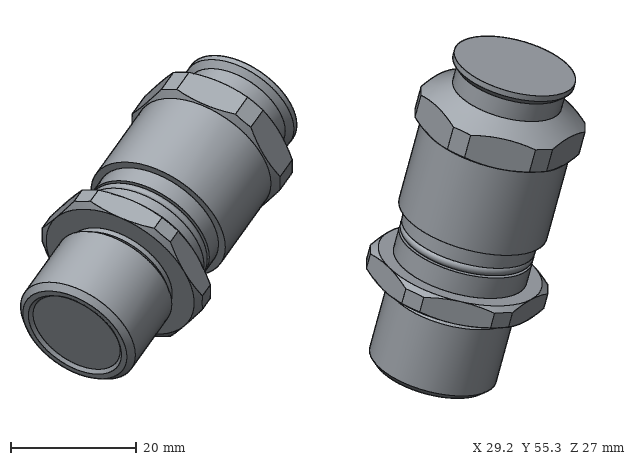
import cadquery as cq
import math

total_length = 55.3
lock_hex_start = 15.0
lock_hex_end = 19.0
oring_groove_start = 22.75
oring_groove_end = 24.5
sleeve_start = 27.55
sleeve_end = 42.65
collar_start = 50.1

thread_dia = 20.95
relief_dia = 18.95
neck_dia = 22.0
sleeve_dia = 24.5
collar_dia = 20.0
collar_neck_dia = 18.0
lock_hex_flats = 27.0
lock_hex_corner_flats = 29.2
cap_hex_flats = 25.0
cap_hex_corner_flats = 27.0

edge_chamfer = 1.0
relief_width = 0.95
oring_section_dia = 1.55
recess_dia = 17.0
recess_depth = 0.55
cone_slope = math.tan(math.radians(30))


def revolve_profile(points):
    """Revolve (radius, y) points, closed along the axis, around Y."""
    start_y = points[0][1]
    end_y = points[-1][1]
    outline = [(0, start_y)] + points + [(0, end_y)]
    return cq.Workplane("XY").polyline(outline).close().revolve(360, (0, 0, 0), (0, 1, 0))


def cylinder(diameter, start_y, end_y):
    return revolve_profile([(diameter / 2, start_y), (diameter / 2, end_y)])


def hexagon_corner_radius(flats):
    return flats / 2 / math.cos(math.radians(30))


def hexagon(flats, start_y, end_y):
    """Hexagonal prism along Y with corners pointing to +X and -X."""
    prism = cq.Workplane("XZ").polygon(6, 2 * hexagon_corner_radius(flats)).extrude(start_y - end_y)
    return prism.translate((0, start_y, 0))


def trimmed_hexagon(flats, corner_flats, start_y, end_y):
    """Hexagonal prism along Y with its six corners cut flat."""
    corner_cutter = hexagon(corner_flats, start_y, end_y).rotate((0, 0, 0), (0, 1, 0), 30)
    return hexagon(flats, start_y, end_y).intersect(corner_cutter)


def make_thread_end():
    """Chamfered thread blank followed by its relief groove."""
    thread_r = thread_dia / 2
    relief_r = relief_dia / 2
    thread_end = lock_hex_start - relief_width
    return revolve_profile([
        (thread_r - edge_chamfer, 0),
        (thread_r, edge_chamfer),
        (thread_r, thread_end - edge_chamfer),
        (relief_r, thread_end),
        (relief_r, lock_hex_start),
    ])


def make_lock_hex():
    """Hexagon with flattened corners and a conical chamfer on both faces."""
    face_r = lock_hex_flats / 2
    corner_r = hexagon_corner_radius(lock_hex_flats)
    chamfer_height = (corner_r - face_r) * cone_slope
    envelope = revolve_profile([
        (face_r, lock_hex_start),
        (corner_r, lock_hex_start + chamfer_height),
        (corner_r, lock_hex_end - chamfer_height),
        (face_r, lock_hex_end),
    ])
    prism = trimmed_hexagon(lock_hex_flats, lock_hex_corner_flats, lock_hex_start, lock_hex_end)
    return prism.intersect(envelope)


def make_grooved_neck():
    """Neck with an O-ring seated in a rectangular groove."""
    groove = cylinder(neck_dia, oring_groove_start, oring_groove_end).cut(
        cylinder(relief_dia, oring_groove_start, oring_groove_end)
    )
    oring_r = oring_section_dia / 2
    oring_y = (oring_groove_start + oring_groove_end) / 2
    oring = (
        cq.Workplane("XY")
        .center(neck_dia / 2 - oring_r, oring_y)
        .circle(oring_r)
        .revolve(360, (oring_r - neck_dia / 2, 0, 0), (oring_r - neck_dia / 2, 1, 0))
    )
    return cylinder(neck_dia, lock_hex_end, sleeve_start).cut(groove).union(oring)


def make_cap_hex():
    """Hexagon whose far end tapers as a cone down to the collar neck."""
    corner_r = hexagon_corner_radius(cap_hex_flats)
    neck_r = collar_neck_dia / 2
    envelope = revolve_profile([
        (sleeve_dia / 2, sleeve_end),
        (corner_r, sleeve_end + (corner_r - sleeve_dia / 2) * cone_slope),
        (corner_r, collar_start - (corner_r - neck_r) * cone_slope),
        (neck_r, collar_start),
    ])
    prism = trimmed_hexagon(cap_hex_flats, cap_hex_corner_flats, sleeve_end, collar_start)
    return prism.intersect(envelope)


def make_collar():
    """Short neck that flares out to a rim at the far end."""
    rim_start = total_length - edge_chamfer
    neck_r = collar_neck_dia / 2
    rim_r = collar_dia / 2
    return revolve_profile([
        (neck_r, collar_start),
        (neck_r, rim_start - (rim_r - neck_r)),
        (rim_r, rim_start),
        (rim_r, total_length),
    ])


def make_end_recess():
    """Shallow 45 degree recess in the threaded end face."""
    mouth_r = recess_dia / 2
    return revolve_profile([(mouth_r, 0), (mouth_r - recess_depth, recess_depth)])


gland = (
    make_thread_end()
    .union(make_lock_hex())
    .union(make_grooved_neck())
    .union(cylinder(sleeve_dia, sleeve_start, sleeve_end))
    .union(make_cap_hex())
    .union(make_collar())
    .cut(make_end_recess())
)

result = gland.translate((0, -total_length / 2, 0))